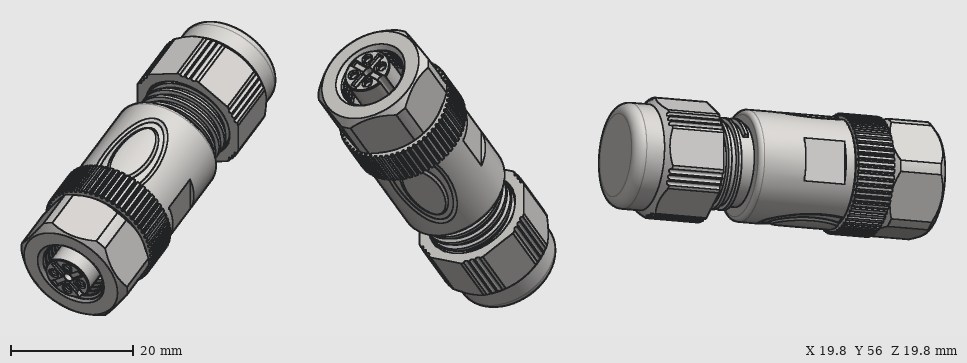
import cadquery as cq
import math

LENGTH = 56.0
OVERLAP = 0.3

COUPLING_FRONT = 1.25
COUPLING_REAR = 10.7
KNURL_REAR = 17.0
BODY_FRONT = 17.35
BODY_REAR = 34.3
GLAND_FRONT = 40.7
CAP_FRONT = 50.9

OUTER_R = 9.9
COUPLING_FLAT = 9.0
COUPLING_FACE_R = 8.75
COUPLING_BACK_R = 8.8
GLAND_FLAT = 9.4
GLAND_BORE_R = 7.85
GLAND_BORE_DEPTH = 4.5
CAP_R = 8.75
CAP_FILLET = 1.9
NECK_R = 8.75
BODY_R = 9.25
BODY_FILLET = 0.85
CORE_R = 6.9

KNURL_COUNT = 60
KNURL_DEPTH = 0.4
KNURL_TOP_WIDTH = 0.5
KNURL_FLOOR_WIDTH = 0.3

GRIP_ANGLES = (-6, 0, 6)
GRIP_GROOVE_R = 0.4

PAD_X = 8.5
PAD_Y0 = 19.0
PAD_Y1 = 26.1

OVAL_OUTER_Y = 21.05
OVAL_INNER_Y = 22.2
OVAL_FLOOR_OUTER = (4.05, 8.95)
OVAL_FLOOR_INNER = (3.15, 6.55)
OVAL_DEPTH = 0.35
OVAL_WALL_DROP = 0.3
OVAL_RIM_RUN = 0.7
OVAL_ISLAND_RUN = 0.45

THREAD_START = 35.45
THREAD_PITCH = 1.75
THREAD_TURNS = 5
THREAD_CREST_R = 7.55
THREAD_ROOT_WIDTH = 1.0
THREAD_CREST_WIDTH = 0.55
THREAD_START_ANGLE = 210

SOCKET_R = 5.5
SOCKET_MOUTH_R = 6.2
SOCKET_DEPTH = 7.85
SOCKET_THREAD_R = 6.0
SOCKET_THREAD_START = 0.45
SOCKET_THREAD_PITCH = 1.0
SOCKET_THREAD_TURNS = 5
SOCKET_THREAD_ROOT_WIDTH = 0.15
SOCKET_THREAD_MOUTH_WIDTH = 0.7

INSERT_R = 4.05
INSERT_CHAMFER = 0.15
PIN_CIRCLE_R = 2.5
PIN_MOUTH_R = 0.9
PIN_GUIDE_R = 0.7
PIN_BORE_R = 0.3
PIN_MOUTH_DEPTH = 0.2
PIN_GUIDE_DEPTH = 0.7
PIN_FUNNEL_DEPTH = 1.05
PIN_BORE_DEPTH = 3.35
CENTRE_HOLE_R = 0.8
CENTRE_HOLE_DEPTH = 1.7
ARM_REACH = 3.5
ARM_WIDTH = 1.25
ARM_DEPTH = 0.35
ARM_WALL_RUN = 0.15
HUB_R = 1.25
KEY_R = 0.7
KEY_CENTRE_R = 3.5
KEY_ANGLE = 45


def section(y):
    """Sketch plane across the axis; sketch x is +X and sketch y is -Z."""
    return cq.Workplane(cq.Plane((0, y, 0), (1, 0, 0), (0, 1, 0)))


def turned(points):
    """Solid of revolution about Y from (radius, Y) points."""
    return cq.Workplane("XY").polyline(points).close().revolve(360, (0, 0, 0), (0, 1, 0))


def rod(radius, y0, y1):
    return section(y0).circle(radius).extrude(y1 - y0)


def hexagon(flat, y0, y1, turn):
    corner_diameter = 2 * flat / math.cos(math.pi / 6)
    prism = section(y0).polygon(6, corner_diameter).extrude(y1 - y0)
    return prism.rotate((0, 0, 0), (0, 1, 0), turn)


def rim_groove(top_width, floor_width, depth, y0, y1):
    """Tapered bar along Y that cuts one groove into the outer radius at +Z."""
    flank = (top_width - floor_width) / 2 / depth
    mouth = top_width / 2 + flank * OVERLAP
    floor_z = OUTER_R - depth
    mouth_z = OUTER_R + OVERLAP
    outline = [
        (-floor_width / 2, -floor_z),
        (floor_width / 2, -floor_z),
        (mouth, -mouth_z),
        (-mouth, -mouth_z),
    ]
    return section(y0).polyline(outline).close().extrude(y1 - y0)


def cut_around(solid, tool, angles):
    for angle in angles:
        solid = solid.cut(tool.rotate((0, 0, 0), (0, 1, 0), angle))
    return solid


def helical_ridge(pitch, turns, r0, width0, r1, width1):
    """Right-handed trapezoidal ridge about Y, starting at +X and Y = 0."""
    path = cq.Workplane(obj=cq.Wire.makeHelix(pitch, pitch * turns, r0))
    outline = [
        (r0, -width0 / 2),
        (r1, -width1 / 2),
        (r1, width1 / 2),
        (r0, width0 / 2),
    ]
    ridge = cq.Workplane("XZ").polyline(outline).close().sweep(path, isFrenet=True)
    return ridge.rotate((0, 0, 0), (1, 0, 0), -90)


def coupling_nut():
    face_drop = OUTER_R - COUPLING_FACE_R
    back_drop = OUTER_R - COUPLING_BACK_R
    blank = turned([
        (0, COUPLING_FRONT),
        (COUPLING_FACE_R, COUPLING_FRONT),
        (OUTER_R, COUPLING_FRONT + face_drop),
        (OUTER_R, COUPLING_REAR - back_drop),
        (COUPLING_BACK_R, COUPLING_REAR),
        (0, COUPLING_REAR),
    ])
    nut = blank.intersect(hexagon(COUPLING_FLAT, 0, COUPLING_REAR, 0))
    mouth_drop = SOCKET_MOUTH_R - SOCKET_R
    socket = turned([
        (0, COUPLING_FRONT),
        (SOCKET_MOUTH_R, COUPLING_FRONT),
        (SOCKET_R, COUPLING_FRONT + mouth_drop),
        (SOCKET_R, COUPLING_FRONT + SOCKET_DEPTH),
        (0, COUPLING_FRONT + SOCKET_DEPTH),
    ])
    inner_r = SOCKET_R - OVERLAP / 2
    thread = helical_ridge(
        SOCKET_THREAD_PITCH, SOCKET_THREAD_TURNS,
        inner_r, SOCKET_THREAD_MOUTH_WIDTH,
        SOCKET_THREAD_R, SOCKET_THREAD_ROOT_WIDTH,
    )
    thread = thread.translate((0, COUPLING_FRONT + SOCKET_THREAD_START, 0))
    return nut.cut(socket).cut(thread)


def contact_insert():
    base_y = COUPLING_FRONT + SOCKET_DEPTH + OVERLAP
    insert = rod(INSERT_R, 0, base_y).faces("<Y").chamfer(INSERT_CHAMFER)
    draft = math.degrees(math.atan(ARM_WALL_RUN / ARM_DEPTH))
    for angle in (45, 135):
        arm = section(0).rect(2 * ARM_REACH, ARM_WIDTH).extrude(ARM_DEPTH, taper=draft)
        insert = insert.cut(arm.rotate((0, 0, 0), (0, 1, 0), angle))
    insert = insert.cut(section(0).circle(HUB_R).extrude(ARM_DEPTH, taper=draft))
    insert = insert.cut(rod(CENTRE_HOLE_R, 0, CENTRE_HOLE_DEPTH))
    pin_hole = turned([
        (0, 0),
        (PIN_MOUTH_R, 0),
        (PIN_GUIDE_R, PIN_MOUTH_DEPTH),
        (PIN_GUIDE_R, PIN_GUIDE_DEPTH),
        (PIN_BORE_R, PIN_FUNNEL_DEPTH),
        (PIN_BORE_R, PIN_BORE_DEPTH),
        (0, PIN_BORE_DEPTH),
    ])
    insert = cut_around(insert, pin_hole.translate((PIN_CIRCLE_R, 0, 0)), (0, 90, 180, 270))
    key_length = COUPLING_FRONT + SOCKET_DEPTH
    key = section(0).center(KEY_CENTRE_R + KEY_R, 0).slot2D(4 * KEY_R, 2 * KEY_R)
    return cut_around(insert, key.extrude(key_length), (KEY_ANGLE,))


def knurled_ring():
    ring = rod(OUTER_R, COUPLING_REAR, KNURL_REAR)
    groove = rim_groove(
        KNURL_TOP_WIDTH, KNURL_FLOOR_WIDTH, KNURL_DEPTH, COUPLING_REAR, KNURL_REAR
    )
    pitch = 360 / KNURL_COUNT
    return cut_around(ring, groove, [(i + 0.5) * pitch for i in range(KNURL_COUNT)])


def neck():
    return rod(NECK_R, KNURL_REAR - OVERLAP, BODY_FRONT + OVERLAP)


def oval(centre_y, half_axes):
    half_width, half_length = half_axes
    sketch = cq.Workplane("XY").center(0, centre_y).ellipse(half_width, half_length)
    return sketch.extrude(BODY_R + OVERLAP)


def oval_groove():
    """Band at +Z between the two ovals, with its floor parallel to the body surface."""
    band = oval(OVAL_OUTER_Y, OVAL_FLOOR_OUTER).cut(oval(OVAL_INNER_Y, OVAL_FLOOR_INNER))
    return band.cut(rod(BODY_R - OVAL_DEPTH, 0, BODY_REAR))


def edges_centred_at(solid, point):
    """Edges whose halfway point is the given point."""
    target = cq.Vector(*point)
    tolerance = 0.005
    return solid.edges().filter(lambda edge: (edge.positionAt(0.5) - target).Length < tolerance)


def body():
    shell = rod(BODY_R, BODY_FRONT, BODY_REAR).faces(">Y").edges().fillet(BODY_FILLET)
    pad = section(PAD_Y0).center(PAD_X + BODY_R / 2, 0).rect(BODY_R, 2 * BODY_R)
    shell = cut_around(shell, pad.extrude(PAD_Y1 - PAD_Y0), (0, 180))
    shell = cut_around(shell, oval_groove(), (0, 180))
    rim_tip = OVAL_OUTER_Y + OVAL_FLOOR_OUTER[1]
    island_tip = OVAL_INNER_Y + OVAL_FLOOR_INNER[1]
    for z in (-BODY_R, BODY_R):
        rim = edges_centred_at(shell, (0, rim_tip, z))
        shell = rim.chamfer(OVAL_RIM_RUN, OVAL_WALL_DROP)
        island = edges_centred_at(shell, (0, island_tip, z))
        shell = island.chamfer(OVAL_WALL_DROP, OVAL_ISLAND_RUN)
    return shell


def threaded_tail():
    tail = rod(CORE_R, BODY_REAR - OVERLAP, GLAND_FRONT + GLAND_BORE_DEPTH + OVERLAP)
    ridge = helical_ridge(
        THREAD_PITCH, THREAD_TURNS,
        CORE_R - OVERLAP / 2, THREAD_ROOT_WIDTH,
        THREAD_CREST_R, THREAD_CREST_WIDTH,
    )
    ridge = ridge.rotate((0, 0, 0), (0, 1, 0), THREAD_START_ANGLE)
    return tail.union(ridge.translate((0, THREAD_START, 0)))


def gland_nut():
    blank = turned([
        (0, GLAND_FRONT),
        (OUTER_R, GLAND_FRONT),
        (OUTER_R, CAP_FRONT - (OUTER_R - CAP_R)),
        (CAP_R, CAP_FRONT),
        (0, CAP_FRONT),
    ])
    nut = blank.intersect(hexagon(GLAND_FLAT, GLAND_FRONT, CAP_FRONT, 30))
    groove = rod(GRIP_GROOVE_R, GLAND_FRONT, CAP_FRONT).translate((0, 0, OUTER_R))
    for corner in range(6):
        nut = cut_around(nut, groove, [60 * corner + offset for offset in GRIP_ANGLES])
    cap = rod(CAP_R, CAP_FRONT - OVERLAP, LENGTH).faces(">Y").edges().fillet(CAP_FILLET)
    bore = rod(GLAND_BORE_R, GLAND_FRONT, GLAND_FRONT + GLAND_BORE_DEPTH)
    return nut.union(cap).cut(bore)


result = (
    coupling_nut()
    .union(contact_insert())
    .union(knurled_ring())
    .union(neck())
    .union(body())
    .union(threaded_tail())
    .union(gland_nut())
)